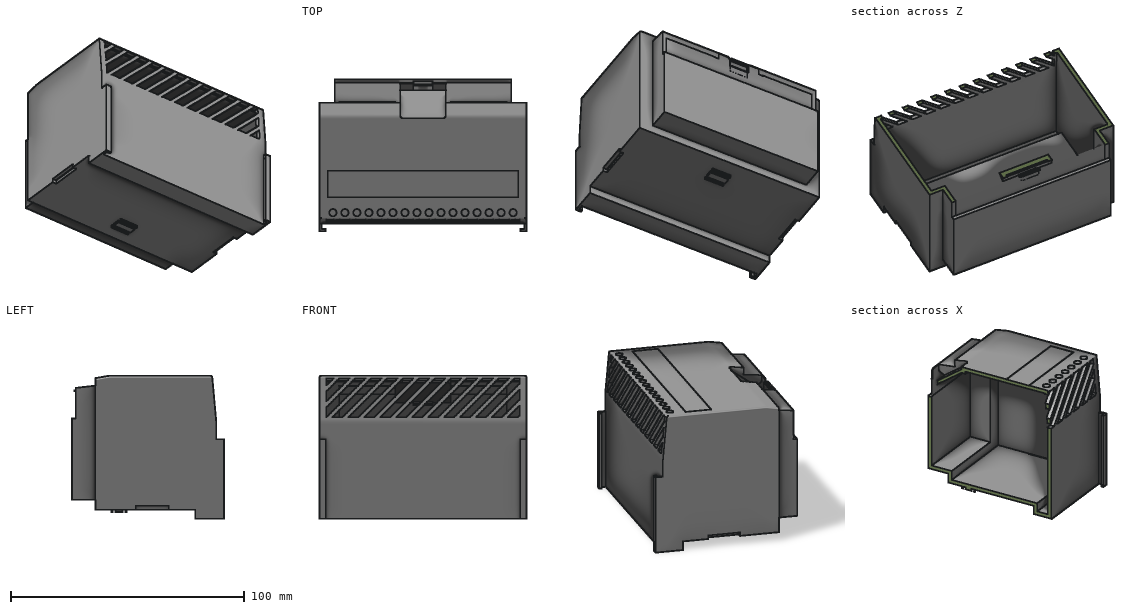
import cadquery as cq
import math

length = 88.7
mid_x = length / 2
wall = 1.95

front_y = 3.3
front_top_y = 5.1
foot_back_y = 12.3
rear_y = 55.1
crest_y = 49.1
bend_z = 41.8
bottom_z = 3.9
rear_top_z = 60.3
top_z = 61.4
bend_radius = 18.6
crest_radius = 10.1
rim_radius = 1.0

hook_reach = 2.7
hook_thickness = 1.1
hook_height = 34.15

rear_inset = 6.5
flange_y = 65.1
back_y = 63.5
rear_bottom_z = 8.2
flange_top_z = 43.0
back_top_z = 56.15
rear_roof_z = 57.1
back_wall = 0.35
rear_ceiling_z = 53.4
lintel_y = 55.4
lintel_top_z = 56.9

grille_inset = 3.0
grille_bottom_z = 43.55
grille_top_z = 60.3
bar_pitch = 6.8
bar_width = 2.6

pocket_width = 19.7
pocket_front_y = 48.3
pocket_corner = 0.9
ramp_end_y = 60.4
ramp_top_z = 60.3
ramp_low_z = 51.6
latch_width = 8.3
latch_gap_side = 0.4
gap_corner_radius = 1.3
latch_top_z = 55.2
latch_lip = 0.4
latch_step = 0.2
latch_plate_y = 62.3
latch_plate = 0.7
latch_tip_y = 64.2
latch_bottom_z = 48.7

mark_depth = 0.1
label_length = 81.6
label_width = 11.35
label_y = 20.1
lamp_count = 16
lamp_diameter = 3.1
lamp_pitch = 5.15
lamp_y = 8.0

notch_y = (23.6, 37.7)
notch_height = 1.7
rib_length = 8.9
rib_drop = 1.0
rib_spans = ((41.7, 42.2), (43.4, 46.5), (47.5, 48.3))


def box(x0, x1, y0, y1, z0, z1):
    """Box between two opposite corners."""
    return cq.Workplane("XY").box(x1 - x0, y1 - y0, z1 - z0, centered=False).translate((x0, y0, z0))


def prism(points, x0, x1):
    """Y-Z outline extruded from x0 to x1."""
    return cq.Workplane("YZ", origin=(x0, 0, 0)).polyline(points).close().extrude(x1 - x0)


def nearest(point):
    """Selector for the vertex or edge closest to a point."""
    return cq.selectors.NearestToPointSelector(point)


housing_outline = [
    (front_y, 0),
    (foot_back_y, 0),
    (foot_back_y, bottom_z),
    (rear_y, bottom_z),
    (rear_y, rear_top_z),
    (crest_y, top_z),
    (front_top_y, top_z),
    (front_y, bend_z),
]


def make_housing():
    profile = (
        cq.Sketch()
        .polygon(housing_outline + housing_outline[:1])
        .vertices(nearest((front_y, bend_z, 0)))
        .fillet(bend_radius)
        .reset()
        .vertices(nearest((crest_y, top_z, 0)))
        .fillet(crest_radius)
    )
    body = cq.Workplane("YZ").placeSketch(profile).extrude(length)
    side_y = (front_top_y + crest_y) / 2
    rim = body.edges(nearest((mid_x, front_top_y, top_z)))
    for x in (0, length):
        rim = rim.add(body.edges(nearest((x, side_y, top_z))))
    return rim.fillet(rim_radius)


def make_housing_cavity():
    outline = cq.Workplane("YZ", origin=(wall, 0, 0)).polyline(housing_outline).close()
    return outline.offset2D(-wall, "intersection").extrude(length - 2 * wall)


def make_rear_extension():
    outline = [
        (rear_y, rear_bottom_z),
        (flange_y, rear_bottom_z),
        (flange_y, flange_top_z),
        (back_y, flange_top_z),
        (back_y, back_top_z),
        (rear_y, rear_roof_z),
    ]
    return prism(outline, rear_inset, length - rear_inset)


def make_rear_cavity():
    inner_back_y = back_y - back_wall
    outline = [
        (rear_y - wall, rear_bottom_z + wall),
        (inner_back_y, rear_bottom_z + wall),
        (inner_back_y, rear_ceiling_z),
        (lintel_y, rear_ceiling_z),
        (lintel_y, lintel_top_z),
        (rear_y - wall, lintel_top_z),
    ]
    inset = rear_inset + wall
    return prism(outline, inset, length - inset)


def make_hooks():
    arm = box(0, hook_thickness, 0, front_y, 0, hook_height)
    hook = arm.union(box(0, hook_reach, 0, hook_thickness, 0, hook_height))
    return hook.union(hook.mirror("YZ", (mid_x, 0, 0)))


def make_grille_slots():
    height = grille_top_z - grille_bottom_z
    grille_end = length - grille_inset
    depth = front_top_y + wall
    slots = box(grille_inset, grille_end, 0, depth, grille_bottom_z, grille_top_z)
    lead_bars = math.ceil(height / bar_pitch)
    first_x = grille_inset - lead_bars * bar_pitch
    bar_count = int((grille_end - first_x) / bar_pitch) + 1
    for i in range(bar_count):
        x = first_x + i * bar_pitch
        bar = (
            cq.Workplane("XZ")
            .polyline([
                (x, grille_bottom_z),
                (x + bar_width, grille_bottom_z),
                (x + bar_width + height, grille_top_z),
                (x + height, grille_top_z),
            ])
            .close()
            .extrude(-depth)
        )
        slots = slots.cut(bar)
    return slots


pocket_x0 = mid_x - pocket_width / 2
pocket_x1 = mid_x + pocket_width / 2
gap_half = latch_width / 2 + latch_gap_side


def make_pocket_shell():
    """Material under and beside the pocket, up to the roof and the rear wall."""
    outline = [
        (pocket_front_y - wall, ramp_top_z),
        (pocket_front_y - wall, ramp_top_z - wall),
        (pocket_front_y, ramp_top_z - wall),
        (ramp_end_y, ramp_low_z - wall),
        (ramp_end_y, ramp_low_z),
        (back_y, rear_ceiling_z),
        (back_y, back_top_z),
        (rear_y, rear_roof_z),
        (rear_y, ramp_top_z),
    ]
    shell = prism(outline, pocket_x0 - wall, pocket_x1 + wall)
    return shell.edges("|Z and <Y").chamfer(pocket_corner + wall)


def make_pocket():
    inner_back_y = back_y - back_wall
    outline = [
        (pocket_front_y, top_z),
        (pocket_front_y, ramp_top_z),
        (ramp_end_y, ramp_low_z),
        (ramp_end_y, ramp_low_z - wall),
        (inner_back_y, ramp_low_z - wall),
        (inner_back_y, top_z),
    ]
    pocket = prism(outline, pocket_x0, pocket_x1)
    return pocket.edges("|Z and <Y").chamfer(pocket_corner)


def make_latch_gap():
    return box(mid_x - gap_half, mid_x + gap_half, ramp_end_y, back_y, ramp_low_z, top_z)


def round_gap_corners(body):
    """Round the upper corners of the thin rear wall beside the latch."""
    wall_mid_y = back_y - back_wall / 2
    corners = body.edges(nearest((mid_x - gap_half, wall_mid_y, back_top_z)))
    corners = corners.add(body.edges(nearest((mid_x + gap_half, wall_mid_y, back_top_z))))
    return corners.fillet(gap_corner_radius)


def make_latch():
    stem_front_y = ramp_end_y - latch_plate
    stem_bottom_z = latch_bottom_z + latch_plate
    stem_top_z = stem_bottom_z + latch_plate
    plate_back_y = latch_plate_y + latch_plate
    lip_bottom_z = latch_top_z - latch_lip
    plate_top_z = latch_top_z - latch_step
    outline = [
        (stem_front_y, stem_bottom_z),
        (latch_plate_y, stem_bottom_z),
        (latch_plate_y, latch_bottom_z),
        (plate_back_y, latch_bottom_z),
        (plate_back_y, lip_bottom_z),
        (latch_tip_y, lip_bottom_z),
        (latch_tip_y, latch_top_z),
        (plate_back_y, latch_top_z),
        (plate_back_y, plate_top_z),
        (latch_plate_y, plate_top_z),
        (latch_plate_y, stem_top_z),
        (stem_front_y, stem_top_z),
    ]
    return prism(outline, mid_x - latch_width / 2, mid_x + latch_width / 2)


def make_roof_marks():
    plane = cq.Workplane("XY", origin=(mid_x, 0, top_z - mark_depth))
    label = plane.center(0, label_y).rect(label_length, label_width).extrude(mark_depth)
    lamps = (
        plane.center(0, lamp_y)
        .rarray(lamp_pitch, 0.9, lamp_count, 1)
        .circle(lamp_diameter / 2)
        .extrude(mark_depth)
    )
    return label.union(lamps)


def make_side_notches():
    notch = box(0, wall, notch_y[0], notch_y[1], bottom_z, bottom_z + notch_height)
    return notch.union(notch.mirror("YZ", (mid_x, 0, 0)))


def make_ribs():
    x0 = mid_x - rib_length / 2
    ribs = cq.Workplane("XY")
    for rib_front_y, rib_back_y in rib_spans:
        ribs = ribs.add(box(x0, x0 + rib_length, rib_front_y, rib_back_y, bottom_z - rib_drop, bottom_z))
    return ribs


result = make_housing().union(make_rear_extension())
result = result.cut(make_housing_cavity()).cut(make_rear_cavity())
result = result.cut(make_grille_slots())
result = result.union(make_pocket_shell()).cut(make_pocket())
result = round_gap_corners(result.cut(make_latch_gap()))
result = result.union(make_latch())
result = result.union(make_hooks())
result = result.cut(make_roof_marks()).cut(make_side_notches())
result = result.union(make_ribs())